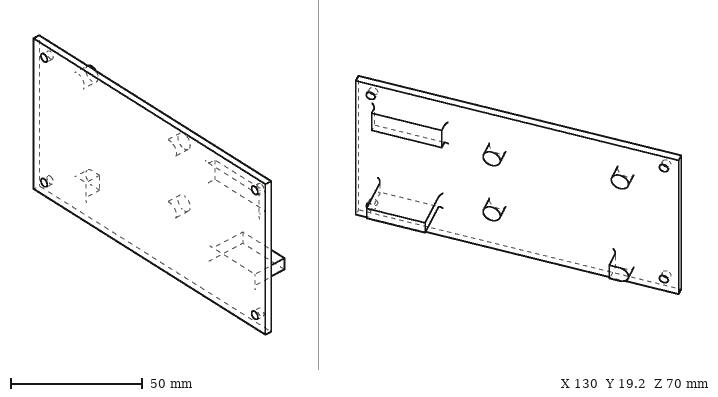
import cadquery as cq

plate_length = 130.0
plate_height = 70.0
plate_thickness = 3.0
total_depth = 19.2
back_face = plate_thickness - total_depth / 2

hole_diameter = 3.5
hole_spacing_x = 118.0
hole_spacing_z = 58.0

peg_diameter = 6.9
peg_radius = peg_diameter / 2
peg_depth = 7.9
left_peg_x = -44.2
middle_peg_x = 7.4
outer_peg_z = 24.2
peg_centers = [
    (left_peg_x, outer_peg_z),
    (middle_peg_x, 19.8),
    (middle_peg_x, -9.0),
]
flat_peg_reach = 4.3

block_center_x = 43.0
low_block_length = 28.2
low_block_depth = 4.0
low_block_bottom = 15.2
low_block_top = outer_peg_z
tall_block_length = 23.5
tall_block_height = 5.2
tall_block_depth = total_depth - plate_thickness
tall_block_z = -16.5

root_fillet = 1.5
match_tolerance = 0.0001


def rear_sketch(x, z):
    """Workplane on the rear face, centred on (x, z); a negative extrusion stands out from it."""
    return cq.Workplane("XZ", origin=(x, back_face, z))


def block(length, height, depth, x, z):
    return rear_sketch(x, z).rect(length, height).extrude(-depth)


def round_peg(x, z):
    plane = cq.Plane(origin=(x, back_face, z), xDir=(0, 0, 1), normal=(0, 1, 0))
    return cq.Workplane(plane).circle(peg_radius).extrude(peg_depth)


def flat_sided_peg(x, z):
    """Peg that is round towards -X and square towards +X."""
    return (
        rear_sketch(x, z)
        .moveTo(0, peg_radius)
        .threePointArc((-peg_radius, 0), (0, -peg_radius))
        .lineTo(flat_peg_reach, -peg_radius)
        .lineTo(flat_peg_reach, peg_radius)
        .close()
        .extrude(-peg_depth)
    )


plate = (
    cq.Workplane("XZ", origin=(0, back_face, 0))
    .rect(plate_length, plate_height)
    .extrude(plate_thickness)
)
holes = (
    cq.Workplane("XZ", origin=(0, back_face, 0))
    .rect(hole_spacing_x, hole_spacing_z, forConstruction=True)
    .vertices()
    .circle(hole_diameter / 2)
    .extrude(plate_thickness)
)

bosses = [round_peg(x, z) for x, z in peg_centers]
bosses.append(flat_sided_peg(left_peg_x, -outer_peg_z))
low_block_height = low_block_top - low_block_bottom
low_block_z = (low_block_top + low_block_bottom) / 2
bosses.append(
    block(low_block_length, low_block_height, low_block_depth, block_center_x, low_block_z)
)
bosses.append(
    block(tall_block_length, tall_block_height, tall_block_depth, block_center_x, tall_block_z)
)

result = plate.cut(holes)
foot_centers = []
for boss in bosses:
    foot_centers += [edge.Center() for edge in boss.faces("<Y").edges().vals()]
    result = result.union(boss)


def is_foot_edge(edge):
    return any((edge.Center() - center).Length < match_tolerance for center in foot_centers)


foot_edges = [edge for edge in result.edges().vals() if is_foot_edge(edge)]
result = result.newObject(foot_edges).fillet(root_fillet)